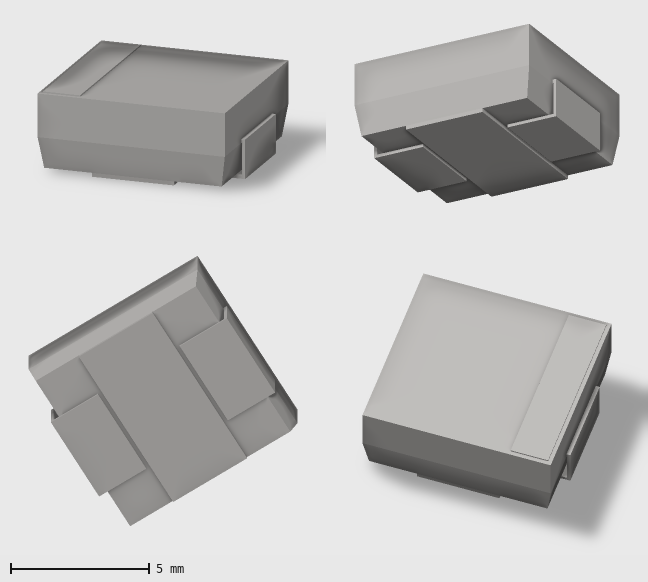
import cadquery as cq

overall_length = 7.49
overall_height = 3.05

housing_length = 7.19
housing_width = 6.86
standoff = 0.15
parting_height = 1.35
taper_inset = 0.19
foot_length = 3.145

mark_thickness = 0.05
mark_length = 1.43
mark_margin = 0.15

terminal_thickness = 0.12
terminal_width = 3.31
terminal_height = 1.5
terminal_foot_length = 2.01

housing_top = overall_height - mark_thickness
base_length = housing_length - 2 * taper_inset
base_width = housing_width - 2 * taper_inset


def make_housing():
    """Straight-walled upper block, tapered base and centre foot in one solid."""
    upper = (
        cq.Workplane("XY", origin=(0, 0, parting_height))
        .rect(housing_length, housing_width)
        .extrude(housing_top - parting_height)
    )
    base = (
        cq.Workplane("XY", origin=(0, 0, standoff))
        .rect(base_length, base_width)
        .workplane(offset=parting_height - standoff)
        .rect(housing_length, housing_width)
        .loft(ruled=True)
    )
    foot = cq.Workplane("XY").rect(foot_length, base_width).extrude(standoff)
    return upper.union(base).union(foot)


def make_polarity_mark():
    """Thin strip on the top face, along the -X edge."""
    mark_center_x = -housing_length / 2 + mark_margin + mark_length / 2
    return (
        cq.Workplane("XY", origin=(mark_center_x, 0, housing_top))
        .rect(mark_length, housing_width - 2 * mark_margin)
        .extrude(mark_thickness)
    )


def make_terminal(side):
    """Folded strip with a foot, an upright and a lip that meets the housing wall.

    side is -1 for the -X end and +1 for the +X end.
    """
    outer_x = side * overall_length / 2
    inner_x = side * (overall_length / 2 - terminal_thickness)
    wall_x = side * housing_length / 2
    foot_end_x = side * (overall_length / 2 - terminal_foot_length)
    return (
        cq.Workplane("XZ")
        .moveTo(foot_end_x, 0)
        .lineTo(outer_x, 0)
        .lineTo(outer_x, terminal_height)
        .lineTo(wall_x, terminal_height)
        .lineTo(wall_x, parting_height)
        .lineTo(inner_x, parting_height)
        .lineTo(inner_x, terminal_thickness)
        .lineTo(foot_end_x, terminal_thickness)
        .close()
        .extrude(terminal_width / 2, both=True)
    )


housing = make_housing()
polarity_mark = make_polarity_mark()
terminals = [make_terminal(side) for side in (-1, 1)]

result = cq.Compound.makeCompound(
    [housing.val(), polarity_mark.val(), *[terminal.val() for terminal in terminals]]
)